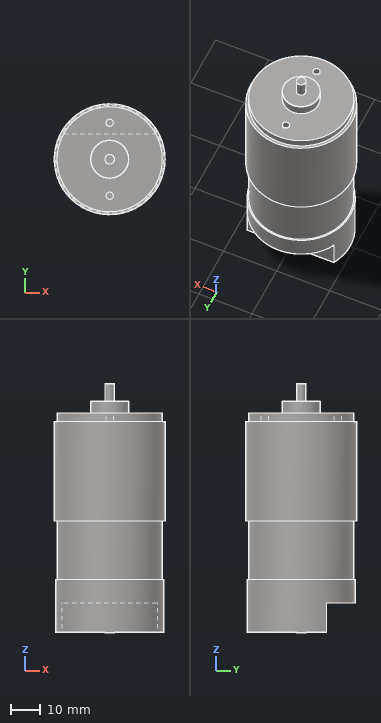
import cadquery as cq

overall_height = 85.2
body_diameter = 38.0

shaft_diameter = 3.2
rear_stub_length = 0.2

rear_cap_diameter = 37.0
rear_cap_length = 18.0
neck_diameter = 35.95
neck_length = 20.0
front_plate_diameter = neck_diameter
front_plate_length = 3.0
boss_diameter = 13.0
boss_length = 4.0
boss_chamfer = 0.1
front_shaft_length = 6.0

notch_height = 10.0
notch_face_y = 8.7

mounting_hole_diameter = 2.5
mounting_hole_spacing = 25.0
mounting_hole_depth = front_plate_length

rear_face_z = rear_stub_length
neck_z = rear_face_z + rear_cap_length
body_z = neck_z + neck_length
front_face_z = overall_height - front_shaft_length - boss_length
front_plate_z = front_face_z - front_plate_length


def cylinder(diameter, bottom_z, length):
    """Solid cylinder on the Z axis."""
    return cq.Workplane("XY").workplane(offset=bottom_z).circle(diameter / 2).extrude(length)


def rear_cap():
    """Rear cap with the notch cut from its +Y side, open at the rear face."""
    cap = cylinder(rear_cap_diameter, rear_face_z, rear_cap_length)
    notch_center_y = notch_face_y + rear_cap_diameter / 2
    notch = cq.Workplane("XY").workplane(offset=rear_face_z).center(0, notch_center_y)
    notch = notch.rect(rear_cap_diameter, rear_cap_diameter).extrude(notch_height)
    return cap.cut(notch)


def boss():
    """Front boss with a small chamfer around its outer edge."""
    return cylinder(boss_diameter, front_face_z, boss_length).faces(">Z").chamfer(boss_chamfer)


def mounting_holes():
    """Two blind holes on the Y axis, on opposite sides of the boss."""
    offset = mounting_hole_spacing / 2
    holes = cq.Workplane("XY").workplane(offset=front_face_z)
    holes = holes.pushPoints([(0, -offset), (0, offset)])
    return holes.circle(mounting_hole_diameter / 2).extrude(-mounting_hole_depth)


shaft = cylinder(shaft_diameter, 0, overall_height)
result = (
    rear_cap()
    .union(cylinder(neck_diameter, neck_z, neck_length))
    .union(cylinder(body_diameter, body_z, front_plate_z - body_z))
    .union(cylinder(front_plate_diameter, front_plate_z, front_plate_length))
    .union(boss())
    .union(shaft)
    .cut(mounting_holes())
)